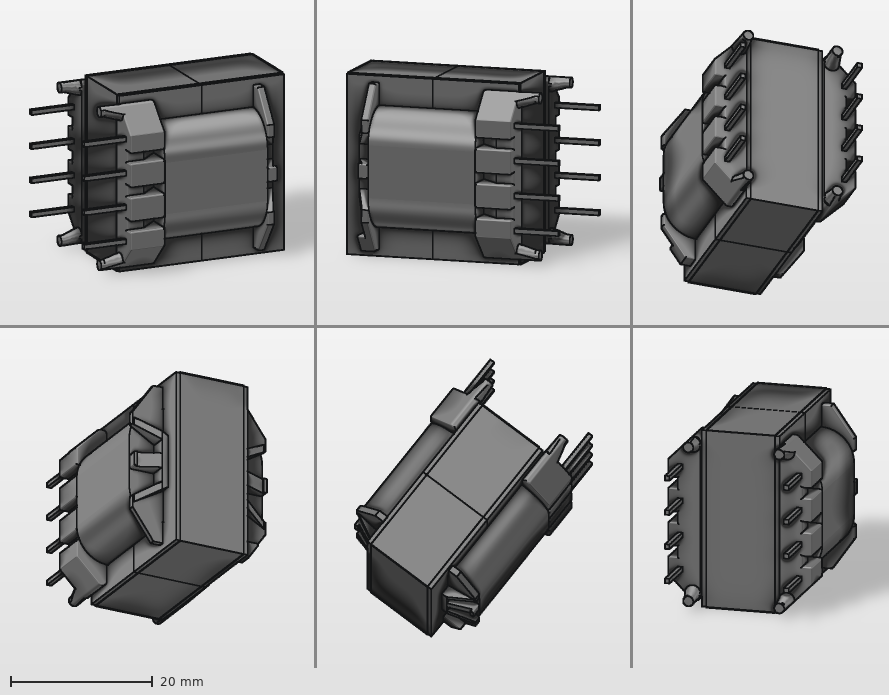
import cadquery as cq
import math


core_half_x = 5.7
core_half_y = 12.8
core_half_z = 12.9
center_leg_half_z = 3.75
window_half_y = 8.97
window_half_z = 8.7

tape_half_x = 5.05
tape_thickness = 0.1

clearance = 0.1
bobbin_inner_x = core_half_x + clearance
bobbin_half_x = 10.57
bobbin_half_z = 11.98
tube_wall = 0.92
tube_half_x = bobbin_inner_x + tube_wall
tube_half_z = center_leg_half_z + clearance + tube_wall
winding_half_y = 7.95
plate_thickness = window_half_y - winding_half_y
plate_end_y = window_half_y
edge_round = 0.23

flange_top_x = 7.25
flange_side_z = 7.33
hump_top_y = 10.57
hump_foot_x = 10.3
hump_outer_z = 6.65
hump_inner_z = 3.95
recess_outer_z = 5.5
recess_inner_z = 3.2
peg_half_z = 1.08
peg_lip_y = 9.43
peg_lip_x = 0.52
tab_top_z = -9.5
tab_end_y = 10.2

block_end_y = 13.3
block_side_z = 8.38
block_top_x = bobbin_half_x - (bobbin_half_z - block_side_z)
block_corner_radius = 0.72
notch_width = 1.55
notch_floor_x = 9.15
ramp_start_y = 10.6

foot_radius = 1.15
foot_tip_radius = 0.75
foot_overlap = 0.03
foot_tip_x = block_top_x - block_corner_radius * math.tan(math.pi / 8)
foot_tip_z = bobbin_half_z - block_corner_radius
foot_taper_end_y = 15.78
foot_end_y = 16.35

pin_pitch = 5.0
pin_count = 4
pin_width = 0.7
pin_x = 8.75
pin_end_y = 19.85

winding_half_z = window_half_z
winding_corner_radius = 4.95


def box(x_range, y_range, z_range):
    """Axis-aligned box between the given coordinate pairs."""
    (x0, x1), (y0, y1), (z0, z1) = x_range, y_range, z_range
    return cq.Workplane("XY").box(x1 - x0, y1 - y0, z1 - z0, centered=False).translate((x0, y0, z0))


def centered_box(half_x, half_y, half_z):
    return cq.Workplane("XY").box(2 * half_x, 2 * half_y, 2 * half_z)


def prism_along_y(points, y0, y1):
    """Extrude an outline of (x, z) points from y0 to y1."""
    return cq.Workplane("XZ", origin=(0, y0, 0)).polyline(points).close().extrude(y0 - y1)


def prism_along_z(points, half_z):
    """Extrude an outline of (x, y) points to both sides of Z = 0."""
    return cq.Workplane("XY").polyline(points).close().extrude(half_z, both=True)


def end_outline(top_x, side_z, inner_x=bobbin_inner_x):
    """Outline of one bobbin end on the +X side, with its two outer corners cut off."""
    return [
        (inner_x, -bobbin_half_z),
        (top_x, -bobbin_half_z),
        (bobbin_half_x, -side_z),
        (bobbin_half_x, side_z),
        (top_x, bobbin_half_z),
        (inner_x, bobbin_half_z),
    ]


def make_core_half(direction):
    """E-shaped half; direction is +1 for the rear half and -1 for the front half."""
    half = box(
        (-core_half_x, core_half_x), (0, core_half_y), (-core_half_z, core_half_z)
    )
    for side in (-1, 1):
        z_range = sorted((side * center_leg_half_z, side * window_half_z))
        half = half.cut(box((-core_half_x, core_half_x), (0, window_half_y), z_range))
    return half if direction > 0 else half.mirror("XZ")


def make_tape():
    outer = centered_box(tape_half_x, core_half_y + tape_thickness, core_half_z + tape_thickness)
    return outer.cut(centered_box(tape_half_x, core_half_y, core_half_z))


def make_winding():
    coil = centered_box(bobbin_half_x, winding_half_y, winding_half_z)
    coil = coil.edges("|Y").fillet(winding_corner_radius)
    return coil.cut(centered_box(tube_half_x, winding_half_y, tube_half_z))


def make_tube():
    """Tube around the center leg, with both end plates inside the core window."""
    tube = centered_box(tube_half_x, plate_end_y, tube_half_z)
    for y0 in (winding_half_y, -plate_end_y):
        tube = tube.union(
            box(
                (-bobbin_inner_x, bobbin_inner_x),
                (y0, y0 + plate_thickness),
                (-window_half_z, window_half_z),
            )
        )
    return tube


def make_peg():
    """Wire peg in the flange recess, with a raised lip at its tip."""
    lip_start_x = bobbin_half_x - peg_lip_x
    slope = (hump_top_y - plate_end_y) / (hump_foot_x - tube_half_x)
    peg = prism_along_z(
        [
            (bobbin_inner_x, winding_half_y),
            (bobbin_half_x, winding_half_y),
            (bobbin_half_x, peg_lip_y),
            (lip_start_x, peg_lip_y),
            (lip_start_x, plate_end_y + slope * (hump_foot_x - lip_start_x)),
            (tube_half_x, hump_top_y),
            (bobbin_inner_x, hump_top_y),
        ],
        peg_half_z,
    )
    return peg.faces(">X").edges("|Y or <Y").fillet(edge_round)


def make_rear_flange():
    """Rear flange on the +X side: plate, sloped hump, recess and peg."""
    plate = prism_along_y(end_outline(flange_top_x, flange_side_z), winding_half_y, plate_end_y)
    recess = prism_along_y(
        [
            (tube_half_x, -recess_inner_z),
            (bobbin_half_x, -recess_outer_z),
            (bobbin_half_x, recess_outer_z),
            (tube_half_x, recess_inner_z),
        ],
        winding_half_y,
        hump_top_y,
    )
    plate = plate.cut(recess)
    plate = plate.faces("<Y").edges("(not |Z) or >X").fillet(edge_round)

    hump = prism_along_z(
        [
            (bobbin_inner_x, plate_end_y),
            (hump_foot_x, plate_end_y),
            (tube_half_x, hump_top_y),
            (bobbin_inner_x, hump_top_y),
        ],
        hump_outer_z,
    )
    hump_plan = prism_along_y(
        [
            (bobbin_inner_x, -hump_inner_z),
            (bobbin_half_x, -hump_outer_z),
            (bobbin_half_x, hump_outer_z),
            (bobbin_inner_x, hump_inner_z),
        ],
        plate_end_y,
        hump_top_y,
    )
    return hump.intersect(hump_plan).cut(recess).union(plate).union(make_peg())


def make_corner_tab():
    """Marker tab behind the lower corner of the rear flange on the -X side."""
    tab = prism_along_y(end_outline(flange_top_x, flange_side_z), plate_end_y, tab_end_y)
    tab = tab.intersect(
        box((0, bobbin_half_x), (plate_end_y, tab_end_y), (-bobbin_half_z, tab_top_z))
    )
    tab = tab.faces(">Y or >Z").edges("not (<X or <Y)").fillet(edge_round)
    return tab.mirror("YZ")


def block_envelope():
    """Rounded outline that bounds the terminal block and its legs, as long as both."""
    envelope = prism_along_y(end_outline(block_top_x, block_side_z), -foot_end_y, -winding_half_y)
    for z_end in ("<Z", ">Z"):
        envelope = envelope.faces(z_end).edges("|Y").fillet(block_corner_radius)
    return envelope


def make_foot(z_side):
    """Tapered standoff leg that stays flush with the end of the terminal block."""
    base_x = bobbin_inner_x + foot_radius - foot_overlap
    base_z = bobbin_half_z - foot_radius + foot_overlap
    foot = (
        cq.Workplane("XZ", origin=(0, -block_end_y, 0))
        .center(base_x, base_z)
        .circle(foot_radius)
        .extrude(-edge_round)
    )
    taper = (
        cq.Workplane("XZ", origin=(0, -block_end_y, 0))
        .center(base_x, base_z)
        .circle(foot_radius)
        .workplane(offset=foot_taper_end_y - block_end_y)
        .center(foot_tip_x - base_x, foot_tip_z - base_z)
        .circle(foot_tip_radius)
        .loft(ruled=True)
    )
    tip = (
        cq.Workplane("XZ", origin=(0, -foot_taper_end_y, 0))
        .center(foot_tip_x, foot_tip_z)
        .circle(foot_tip_radius)
        .extrude(foot_end_y - foot_taper_end_y)
    )
    foot = foot.union(taper).union(tip).intersect(block_envelope())
    return foot if z_side > 0 else foot.mirror("XY")


def make_terminal_block():
    """Front block on the +X side with wire notches, legs and pins."""
    block = prism_along_y(end_outline(block_top_x, block_side_z, 0), -block_end_y, -winding_half_y)
    for z_end in ("<Z", ">Z"):
        block = block.faces(z_end).edges("|Y and >X").fillet(block_corner_radius)
    block = block.faces(">X").edges("|Y").fillet(edge_round)

    notch_profile = [
        (notch_floor_x, -block_end_y),
        (notch_floor_x, -ramp_start_y),
        (tube_half_x, -winding_half_y),
        (bobbin_half_x, -winding_half_y),
        (bobbin_half_x, -block_end_y),
    ]
    for index in (-1, 0, 1):
        notch = prism_along_z(notch_profile, notch_width / 2)
        block = block.cut(notch.translate((0, 0, index * pin_pitch)))
    block = block.faces(">X or <Y").edges("not <X").fillet(edge_round)
    block = block.intersect(block_envelope())

    for z_side in (-1, 1):
        block = block.union(make_foot(z_side))
    for index in range(pin_count):
        z = (index - (pin_count - 1) / 2) * pin_pitch
        pin = cq.Workplane("XY").box(pin_width, pin_end_y - block_end_y, pin_width)
        block = block.union(pin.translate((pin_x, -(pin_end_y + block_end_y) / 2, z)))
    return block


def make_bobbin():
    bobbin = make_tube()
    for part in (make_rear_flange(), make_terminal_block()):
        bobbin = bobbin.union(part).union(part.mirror("YZ"))
    bobbin = bobbin.union(make_corner_tab())
    leg_hole = centered_box(bobbin_inner_x, plate_end_y, center_leg_half_z + clearance)
    return bobbin.cut(leg_hole)


rear_core = make_core_half(1)
front_core = make_core_half(-1)
tape = make_tape()
winding = make_winding()
bobbin = make_bobbin()

result = cq.Compound.makeCompound(
    [rear_core.val(), front_core.val(), tape.val(), winding.val(), bobbin.val()]
)